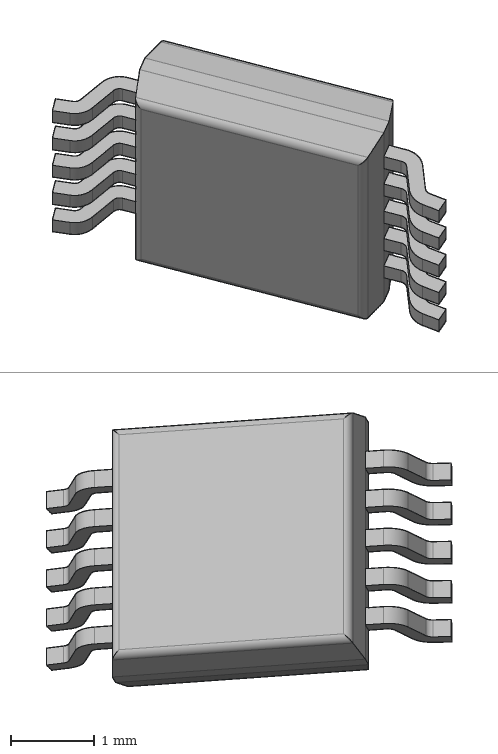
import cadquery as cq
import math

body_side = 3.1
body_thickness = 1.09
draft_angle = 11.7
rim_radius = 0.1

leads_per_side = 5
lead_pitch = 0.5
lead_width = 0.22
lead_thickness = 0.195
lead_embed = 0.1
shoulder_length = 0.345
leg_angle = 66.0
foot_angle = 8.0
inner_bend_radius = 0.1

overall_length = 4.96
overall_height = 1.24

half_body = body_side / 2
half_lead = lead_thickness / 2
outer_bend_radius = inner_bend_radius + lead_thickness


def body_half(side):
    """One drafted half of the body, on the +Y (side = 1) or -Y (side = -1) face of the band."""
    depth = (body_thickness - lead_thickness) / 2
    base = cq.Plane(origin=(0, side * half_lead, 0), xDir=(1, 0, 0), normal=(0, side, 0))
    half = cq.Workplane(base).rect(body_side, body_side).extrude(depth, taper=draft_angle)
    outer_face = ">Y" if side > 0 else "<Y"
    return half.faces(outer_face).edges().fillet(rim_radius)


def make_body():
    band = cq.Workplane("XY").box(body_side, lead_thickness, body_side)
    return band.union(body_half(1)).union(body_half(-1))


def make_lead():
    """One lead on the +X side, centred on Z = 0, bent down toward -Y."""
    leg = math.radians(leg_angle)
    foot = math.radians(foot_angle)

    root_x = half_body - lead_embed
    knee_x = half_body + shoulder_length
    tip_x = overall_length / 2 - half_lead * math.sin(foot)
    tip_y = body_thickness / 2 - overall_height + half_lead * math.cos(foot)

    leg_slope = math.tan(leg)
    foot_slope = math.tan(foot)
    ankle_x = (leg_slope * knee_x - foot_slope * tip_x - tip_y) / (leg_slope - foot_slope)
    ankle_y = -leg_slope * (ankle_x - knee_x)

    path = [
        (root_x, 0, 0, 1),
        (knee_x, 0, leg / 2, 1 / math.cos(leg / 2)),
        (ankle_x, ankle_y, (leg + foot) / 2, 1 / math.cos((leg - foot) / 2)),
        (tip_x, tip_y, foot, 1),
    ]

    def face_points(face):
        """Path corners moved out to the upper (1) or lower (-1) face of the strip."""
        points = []
        for x, y, tilt, stretch in path:
            shift = face * half_lead * stretch
            points.append((x + shift * math.sin(tilt), y + shift * math.cos(tilt)))
        return points

    upper = face_points(1)
    lower = face_points(-1)
    outline = cq.Workplane("XY").polyline(upper + lower[::-1]).close()
    lead = outline.extrude(lead_width / 2, both=True)

    bends = [
        (upper[1], outer_bend_radius),
        (lower[1], inner_bend_radius),
        (upper[2], inner_bend_radius),
        (lower[2], outer_bend_radius),
    ]
    for (x, y), radius in bends:
        corner = cq.selectors.NearestToPointSelector((x, y, 0))
        lead = lead.edges("|Z").edges(corner).fillet(radius)
    return lead


def make_part():
    part = make_body()
    right_lead = make_lead()
    left_lead = right_lead.mirror("YZ")
    for index in range(leads_per_side):
        height = (index - (leads_per_side - 1) / 2) * lead_pitch
        for lead in (right_lead, left_lead):
            part = part.union(lead.translate((0, 0, height)))
    return part


result = make_part()